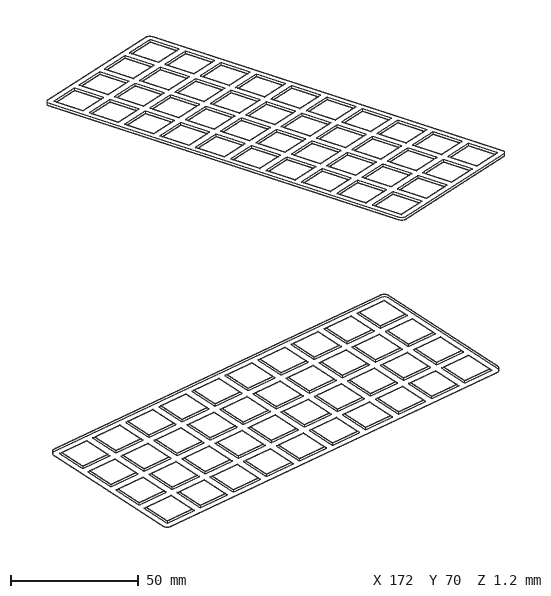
import cadquery as cq

length = 172.0
width = 70.0
thickness = 1.2
corner_radius = 2.0

columns = 10
rows = 4
opening = 14.0
border = 2.5

column_pitch = (length - 2 * border - opening) / (columns - 1)
row_pitch = (width - 2 * border - opening) / (rows - 1)


def make_plate():
    """Flat rectangular plate with rounded vertical corners, resting on Z = 0."""
    plate = cq.Workplane("XY").box(length, width, thickness, centered=(True, True, False))
    return plate.edges("|Z").fillet(corner_radius)


def cut_openings(plate):
    """Cut the centred grid of square openings through the plate."""
    return (
        plate.faces(">Z")
        .workplane(origin=(0, 0, thickness))
        .rarray(column_pitch, row_pitch, columns, rows)
        .rect(opening, opening)
        .cutThruAll()
    )


result = cut_openings(make_plate())